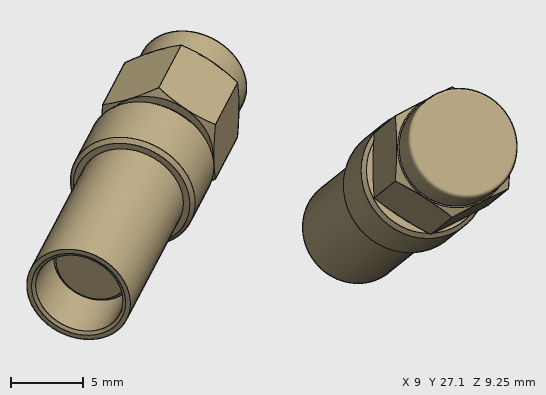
import cadquery as cq
import math

overall_length = 27.1
tube_length = 12.5
collar_length = 5.0
neck_length = 1.08
hex_length = 6.0
cap_length = overall_length - tube_length - collar_length - neck_length - hex_length

tube_radius = 3.75
collar_radius = 4.5
collar_chamfer = 0.3
neck_radius = 3.22
cap_radius = 3.9
cap_fillet = 0.25

hex_width = 8.13
hex_across_corners = 9.25
hex_corner_radius = hex_across_corners / 2
hex_end_radius = 4.0
hex_chamfer_angle = 30.0

bore_radius = 3.15
mouth_radius = 3.4
mouth_bevel_depth = 0.15
post_radius = 2.9
post_chamfer = 0.25
post_face_depth = 3.4

tube_start = -overall_length / 2
collar_start = tube_start + tube_length
neck_start = collar_start + collar_length
hex_start = neck_start + neck_length
cap_start = hex_start + hex_length


def cylinder(radius, start, length):
    """Solid cylinder on the Y axis, running towards +Y from start."""
    plane = cq.Plane(origin=(0, start, 0), xDir=(1, 0, 0), normal=(0, 1, 0))
    return cq.Workplane(plane).circle(radius).extrude(length)


def turned(profile):
    """Solid of revolution about Y from a profile of (radius, y) points."""
    return cq.Workplane("XY").polyline(profile).close().revolve(360, (0, 0, 0), (0, 1, 0))


def make_tube():
    """Thin tube with a bevelled mouth, closed at its far end by the collar."""
    return turned([
        (tube_radius, tube_start),
        (mouth_radius, tube_start),
        (bore_radius, tube_start + mouth_bevel_depth),
        (bore_radius, collar_start),
        (tube_radius, collar_start),
    ])


def make_post():
    """Chamfered post rising from the floor of the bore."""
    post = cylinder(post_radius, tube_start + post_face_depth, tube_length - post_face_depth)
    return post.faces("<Y").chamfer(post_chamfer)


def make_collar():
    collar = cylinder(collar_radius, collar_start, collar_length)
    return collar.faces("<Y or >Y").chamfer(collar_chamfer)


def make_hex_nut():
    """Hexagon with flats facing +X and -X and conically turned corners at both ends."""
    plane = cq.Plane(origin=(0, hex_start, 0), xDir=(1, 0, 0), normal=(0, 1, 0))
    side = hex_width / 2
    side_corner = hex_corner_radius / 2
    outline = [
        (0, hex_corner_radius),
        (side, side_corner),
        (side, -side_corner),
        (0, -hex_corner_radius),
        (-side, -side_corner),
        (-side, side_corner),
    ]
    prism = cq.Workplane(plane).polyline(outline).close().extrude(hex_length)
    blank_radius = math.hypot(side, side_corner)
    cone_length = (blank_radius - hex_end_radius) * math.tan(math.radians(hex_chamfer_angle))
    turned_blank = turned([
        (0, hex_start),
        (hex_end_radius, hex_start),
        (blank_radius, hex_start + cone_length),
        (blank_radius, cap_start - cone_length),
        (hex_end_radius, cap_start),
        (0, cap_start),
    ])
    return prism.intersect(turned_blank)


def make_cap():
    """Round end of the nut with a rounded outer edge."""
    return cylinder(cap_radius, cap_start, cap_length).faces(">Y").edges().fillet(cap_fillet)


neck = cylinder(neck_radius, neck_start, neck_length)
result = make_collar().union(make_tube()).union(make_post()).union(neck).union(make_hex_nut()).union(make_cap())